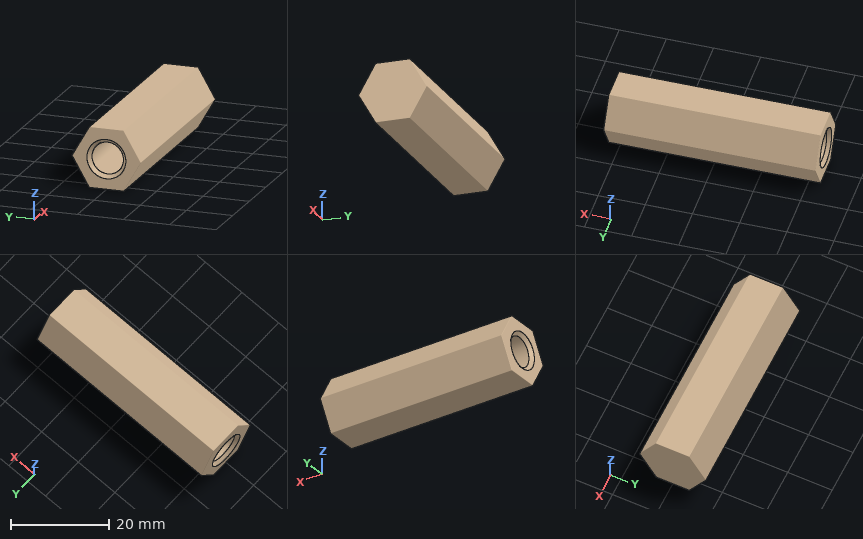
import cadquery as cq
import math

length = 45.0
across_flats = 13.0
across_corners = across_flats / math.cos(math.pi / 6)

edge_radius = 0.1

bore_diameter = 6.8
mouth_diameter = 8.4
bore_depth = 18.0
tip_angle = 118.0
mouth_angle = 90.0

bore_radius = bore_diameter / 2
mouth_radius = mouth_diameter / 2
mouth_depth = (mouth_radius - bore_radius) / math.tan(math.radians(mouth_angle / 2))
tip_depth = bore_depth + bore_radius / math.tan(math.radians(tip_angle / 2))


def hex_bar():
    """Bar with two flats facing up and down, two corners on the Y axis and softened edges."""
    bar = cq.Workplane("YZ").polygon(6, across_corners).extrude(length)
    return bar.edges().fillet(edge_radius)


def blind_hole():
    """Countersunk bore with a conical drill tip, revolved about X."""
    profile = [
        (0, 0),
        (0, mouth_radius),
        (mouth_depth, bore_radius),
        (bore_depth, bore_radius),
        (tip_depth, 0),
    ]
    return cq.Workplane("XY").polyline(profile).close().revolve(360, (0, 0, 0), (1, 0, 0))


hole = blind_hole()
result = hex_bar().cut(hole)